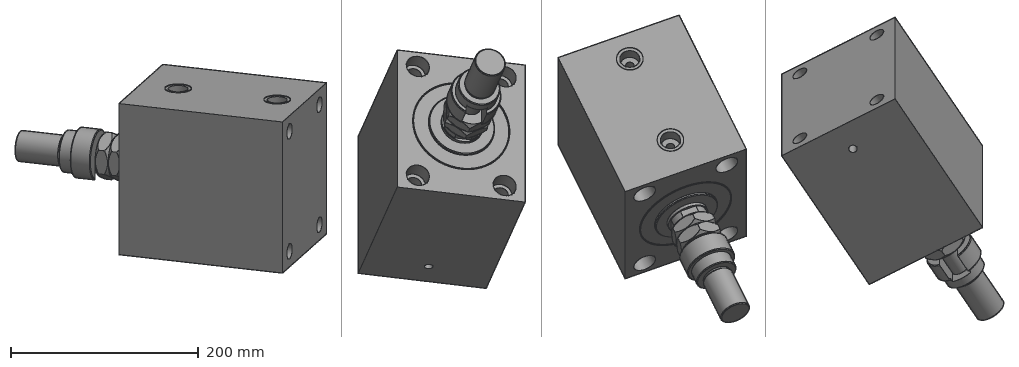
import cadquery as cq
import math


BLOCK_LENGTH = 185.0
BLOCK_WIDTH = 140.0
BLOCK_HEIGHT = 170.0
BOSS_RADIUS = 36.0
BOSS_HEIGHT = 3.0
BOSS_CHAMFER = 1.0
GROOVE_RADIUS = 53.0
GROOVE_WIDTH = 1.0
GROOVE_DEPTH = 1.0

FIXING_SPACING_Y = 95.0
FIXING_SPACING_Z = 135.0
FIXING_RADIUS = 8.5
COUNTERBORE_RADIUS = 12.5
COUNTERBORE_DEPTH = 19.3

FRONT_PORT_X = 42.2
REAR_PORT_X = 154.2
SPOTFACE_RADIUS = 14.2
SPOTFACE_DEPTH = 0.5
PORT_RADIUS = 10.5
PORT_DEPTH = 14.0
OIL_HOLE_RADIUS = 4.5

ROD_RADIUS = 23.0
ROD_DEPTH = 96.5
ROD_COLLAR_FRONT = -6.5
ROD_END = -15.0
ROD_TIP_RADIUS = 21.5
ROD_ACROSS_FLATS = 39.3

HEX_ACROSS_FLATS = 46.0
HEX_FACE_RADIUS = 22.5
NUT_THICKNESS = 14.0
BOLT_HEX_THICKNESS = 14.8
STUD_RADIUS = 15.0
STUD_DEPTH = 22.5
NECK_RADIUS = 11.3
NUT_FRONT = ROD_END - NUT_THICKNESS
BOLT_HEX_FRONT = NUT_FRONT - BOLT_HEX_THICKNESS

TIP_X = BLOCK_LENGTH - 322.0
CAP_BACK = -47.5
CAP_FRONT = -70.5
CAP_RADIUS = 27.5
SLOT_END = -75.0
FLANGE_FRONT = -85.0
FLANGE_RADIUS = 23.0
UNDERCUT_FRONT = -87.3
UNDERCUT_RADIUS = 15.5
SPIGOT_RADIUS = 16.7
EDGE_CHAMFER = 1.0


def cylinder(radius, x_start, x_end):
    """Round bar along X from x_start to x_end."""
    return cq.Workplane("YZ", origin=(x_start, 0, 0)).circle(radius).extrude(x_end - x_start)


def square_bar(size, x_start, x_end):
    """Square bar along X from x_start to x_end."""
    return cq.Workplane("YZ", origin=(x_start, 0, 0)).rect(size, size).extrude(x_end - x_start)


def hexagon(x_start, x_end):
    """Hexagon along X with corners up and down, both ends chamfered at 45 degrees."""
    corner_radius = HEX_ACROSS_FLATS / math.sqrt(3)
    bar = (
        cq.Workplane("YZ", origin=(x_start, 0, 0))
        .polygon(6, 2 * corner_radius)
        .extrude(x_end - x_start)
        .rotate((0, 0, 0), (1, 0, 0), 90)
    )
    chamfered_bar = cylinder(corner_radius, x_start, x_end).edges().chamfer(corner_radius - HEX_FACE_RADIUS)
    return bar.intersect(chamfered_bar)


def drill_port(block, x, floor_z):
    """Spotfaced port in the top face with an oil hole down to floor_z."""
    top = BLOCK_HEIGHT / 2
    for radius, bottom in (
        (SPOTFACE_RADIUS, top - SPOTFACE_DEPTH),
        (PORT_RADIUS, top - PORT_DEPTH),
        (OIL_HOLE_RADIUS, floor_z),
    ):
        hole = cq.Workplane("XY", origin=(x, 0, bottom)).circle(radius).extrude(top - bottom)
        block = block.cut(hole)
    return block


def make_block():
    block = cq.Workplane("XY").box(BLOCK_LENGTH, BLOCK_WIDTH, BLOCK_HEIGHT, centered=(False, True, True))

    boss = cylinder(BOSS_RADIUS, -BOSS_HEIGHT, 0).faces("<X").chamfer(BOSS_CHAMFER)
    block = block.union(boss)

    groove = cylinder(GROOVE_RADIUS, 0, GROOVE_DEPTH).cut(
        cylinder(GROOVE_RADIUS - GROOVE_WIDTH, 0, GROOVE_DEPTH)
    )
    block = block.cut(groove)

    for side_y in (-1, 1):
        for side_z in (-1, 1):
            centre = (0, side_y * FIXING_SPACING_Y / 2, side_z * FIXING_SPACING_Z / 2)
            block = block.cut(cylinder(FIXING_RADIUS, 0, BLOCK_LENGTH).translate(centre))
            block = block.cut(cylinder(COUNTERBORE_RADIUS, 0, COUNTERBORE_DEPTH).translate(centre))

    block = drill_port(block, FRONT_PORT_X, 0)
    block = drill_port(block, REAR_PORT_X, -BLOCK_HEIGHT / 2)
    return block.cut(cylinder(ROD_RADIUS, -BOSS_HEIGHT, ROD_DEPTH))


def make_rod():
    tip = cylinder(ROD_TIP_RADIUS, ROD_END, ROD_COLLAR_FRONT).intersect(
        square_bar(ROD_ACROSS_FLATS, ROD_END, ROD_COLLAR_FRONT)
    )
    rod = cylinder(ROD_RADIUS, ROD_COLLAR_FRONT, ROD_DEPTH).union(tip)
    return rod.cut(cylinder(STUD_RADIUS, ROD_END, ROD_END + STUD_DEPTH))


def make_lock_nut():
    return hexagon(NUT_FRONT, ROD_END).cut(cylinder(STUD_RADIUS, NUT_FRONT, ROD_END))


def make_coupling_bolt():
    neck = cylinder(NECK_RADIUS, SLOT_END, BOLT_HEX_FRONT)
    stud = cylinder(STUD_RADIUS, NUT_FRONT, ROD_END + STUD_DEPTH)
    return hexagon(BOLT_HEX_FRONT, NUT_FRONT).union(neck).union(stud)


def make_coupling():
    spigot = cylinder(SPIGOT_RADIUS, TIP_X, UNDERCUT_FRONT).edges().chamfer(EDGE_CHAMFER)
    undercut = cylinder(UNDERCUT_RADIUS, UNDERCUT_FRONT, FLANGE_FRONT)
    flange = cylinder(FLANGE_RADIUS, FLANGE_FRONT, CAP_FRONT).faces("<X").chamfer(EDGE_CHAMFER)
    cap = cylinder(CAP_RADIUS, CAP_FRONT, CAP_BACK).edges().chamfer(EDGE_CHAMFER)
    coupling = spigot.union(undercut).union(flange).union(cap)

    slot = cylinder(NECK_RADIUS, SLOT_END, CAP_BACK).union(
        cq.Workplane("XY", origin=(SLOT_END, 0, -CAP_RADIUS)).box(
            CAP_BACK - SLOT_END, 2 * NECK_RADIUS, CAP_RADIUS, centered=(False, True, False)
        )
    )
    return coupling.cut(slot)


block = make_block()
rod = make_rod()
lock_nut = make_lock_nut()
coupling_bolt = make_coupling_bolt()
coupling = make_coupling()

bodies = (block, rod, lock_nut, coupling_bolt, coupling)
result = cq.Compound.makeCompound([body.solids().val() for body in bodies])